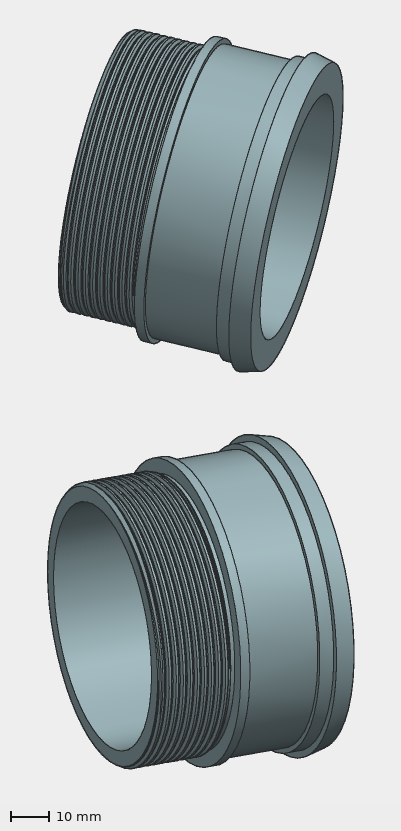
import cadquery as cq

core_end = 20.8
flange_start = 22.0
flange_end = 24.6
collar_start = 44.5
collar_end = 48.4
total_length = 54.0

bore_radius = 33.1
neck_radius = 37.1
core_radius = 37.2
crest_radius = 38.1
body_radius = 39.7
flange_radius = 41.1
rim_radius = 43.0
rim_end_radius = 41.6

thread_turns = 11
thread_length = 22.0
thread_start = -0.7
thread_pitch = thread_length / thread_turns
ridge_base_width = 1.8
ridge_crest_width = 0.7
ridge_embed = 0.1
start_chamfer = 1.3
runout_chamfer = 1.2
envelope_radius = crest_radius + 0.1


def revolve_about_x(points):
    """Revolve a closed outline of (axial, radial) points about the X axis."""
    return cq.Workplane("XY").polyline(points).close().revolve(360, (0, 0, 0), (1, 0, 0))


def make_body():
    """Bored adapter body with its flange, collar and tapered rim."""
    return revolve_about_x([
        (0, bore_radius),
        (0, core_radius),
        (core_end, core_radius),
        (core_end, neck_radius),
        (flange_start, neck_radius),
        (flange_start, flange_radius),
        (flange_end, flange_radius),
        (flange_end, body_radius),
        (collar_start, body_radius),
        (collar_start, flange_radius),
        (collar_end, flange_radius),
        (collar_end, rim_radius),
        (total_length, rim_end_radius),
        (total_length, bore_radius),
    ])


def make_thread():
    """Helical ridge, trimmed by a tube with conical ends for lead-in and runout."""
    root_radius = core_radius - ridge_embed
    helix = cq.Wire.makeHelix(thread_pitch, thread_length, root_radius)
    ridge = (
        cq.Workplane("XZ")
        .polyline([
            (root_radius, -ridge_base_width / 2),
            (crest_radius, -ridge_crest_width / 2),
            (crest_radius, ridge_crest_width / 2),
            (root_radius, ridge_base_width / 2),
        ])
        .close()
        .sweep(cq.Workplane(obj=helix), isFrenet=True)
    )
    ridge = ridge.rotate((0, 0, 0), (0, 1, 0), 90).rotate((0, 0, 0), (1, 0, 0), -90)
    ridge = ridge.translate((thread_start, 0, 0))

    envelope = revolve_about_x([
        (0, bore_radius),
        (0, core_radius),
        (start_chamfer, envelope_radius),
        (core_end - runout_chamfer, envelope_radius),
        (core_end, core_radius),
        (core_end, bore_radius),
    ])
    return ridge.intersect(envelope)


result = make_body().union(make_thread())